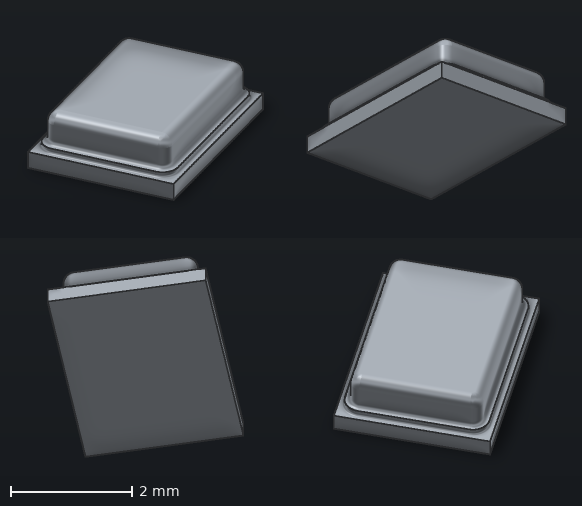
import cadquery as cq

base_width = 2.65
base_length = 3.5
base_height = 0.3

total_height = 0.99
lid_inset = 0.2
lid_corner_radius = 0.18
lid_top_radius = 0.2

flange_inset = 0.1
flange_height = 0.1
neck_radius = 0.098
foot_radius = 0.051

flange_top = base_height + flange_height
flange_corner_radius = lid_corner_radius + lid_inset - flange_inset


def plate(inset, bottom, top):
    """Block whose sides lie a given inset inside the substrate sides."""
    outline = cq.Workplane("XY", origin=(0, 0, bottom))
    return outline.rect(base_width - 2 * inset, base_length - 2 * inset).extrude(top - bottom)


def rounded_plate(inset, corner_radius, bottom, top):
    return plate(inset, bottom, top).edges("|Z").fillet(corner_radius)


def junction_edges(body, height):
    """Edges at a height where a block stands on a plate, leaving out the plate rim."""
    margin = 0.001
    selector = cq.selectors.BoxSelector(
        (-base_width / 2 + margin, -base_length / 2 + margin, height - margin),
        (base_width / 2 - margin, base_length / 2 - margin, height + margin),
    )
    return body.edges(selector)


def make_cover():
    """Round-topped lid flaring out into its thin flange."""
    lid = rounded_plate(lid_inset, lid_corner_radius, base_height, total_height)
    lid = lid.faces(">Z").edges().fillet(lid_top_radius)
    skirt = plate(0, base_height, flange_top).union(lid)
    flared = junction_edges(skirt, flange_top).fillet(neck_radius)
    flange_limit = rounded_plate(flange_inset, flange_corner_radius, base_height, total_height)
    return flared.intersect(flange_limit)


substrate = plate(0, 0, base_height)
part = substrate.union(make_cover())
result = junction_edges(part, base_height).fillet(foot_radius)